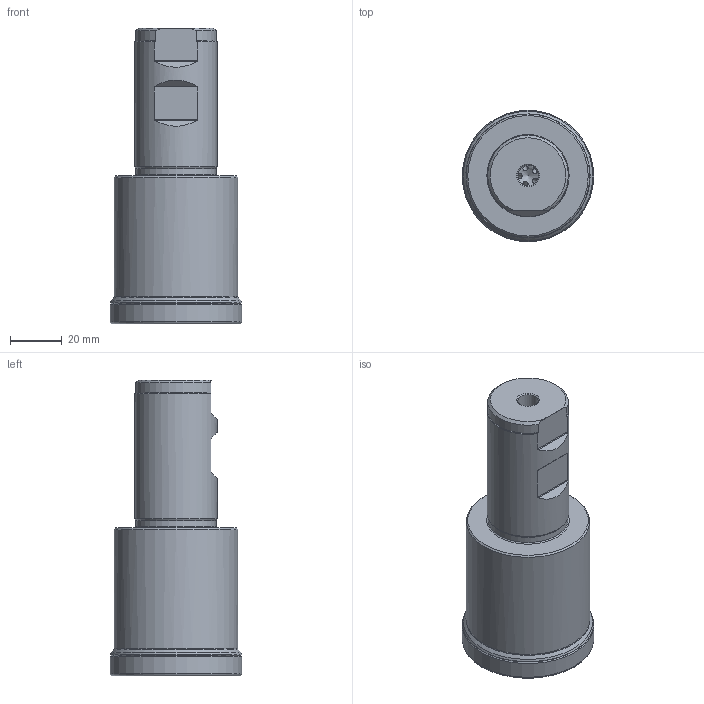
import cadquery as cq
import math

TOTAL_HEIGHT = 114.32
SHANK_LENGTH = 57.15
SHOULDER_Z = TOTAL_HEIGHT - SHANK_LENGTH

SHANK_RADIUS = 31.75 / 2
UPPER_NECK_RADIUS = 31.2 / 2
UPPER_NECK_LENGTH = 4.9
LOWER_NECK_RADIUS = 30.95 / 2
LOWER_NECK_LENGTH = 2.85
LOWER_NECK_TAPER_LENGTH = 0.7
SHANK_TOP_CHAMFER = 1.0
SHANK_ROOT_FILLET = 0.45

BODY_RADIUS = 47.8 / 2
BODY_CHAMFER = 0.6

COLLAR_RADIUS = 50.87 / 2
COLLAR_TOP_Z = 10.35
COLLAR_ROOT_FILLET = 0.5
COLLAR_SLOPE_END_Z = 9.0
COLLAR_SLOPE_END_RADIUS = 25.05
GROOVE_TOP_Z = 8.2
GROOVE_BOTTOM_Z = 7.3
GROOVE_DEPTH = 0.35
COLLAR_BOTTOM_FILLET = 0.85

FLAT_DISTANCE = 13.5
UPPER_FLAT_LENGTH = 12.7
LOWER_FLAT_LENGTH = 13.0
LOWER_FLAT_TOP_Z = TOTAL_HEIGHT - 22.5
FLAT_CORNER_FILLET = 0.5

BORE_RADIUS = 8 / 2
BORE_CHAMFER = 0.4
BORE_FLOOR_Z = 20.0
DRILL_POINT_ANGLE = 118
CHANNEL_COUNT = 5
CHANNEL_RADIUS = 2 / 2
CHANNEL_START_RADIUS = 3.15
CHANNEL_TILT = 30
CHANNEL_FIRST_ANGLE = 180


def make_turned_blank():
    """Shank, body and grooved collar as one revolved profile."""
    upper_neck_z = TOTAL_HEIGHT - UPPER_NECK_LENGTH
    upper_step = SHANK_RADIUS - UPPER_NECK_RADIUS
    lower_neck_z = SHOULDER_Z + LOWER_NECK_LENGTH
    groove_middle_z = (GROOVE_TOP_Z + GROOVE_BOTTOM_Z) / 2
    fillet_offset = COLLAR_BOTTOM_FILLET * (1 - math.sqrt(0.5))
    root_offset = SHANK_ROOT_FILLET * (1 - math.sqrt(0.5))
    profile = (
        cq.Workplane("XZ")
        .moveTo(0, 0)
        .lineTo(COLLAR_RADIUS - COLLAR_BOTTOM_FILLET, 0)
        .threePointArc(
            (COLLAR_RADIUS - fillet_offset, fillet_offset),
            (COLLAR_RADIUS, COLLAR_BOTTOM_FILLET),
        )
        .lineTo(COLLAR_RADIUS, GROOVE_BOTTOM_Z)
        .lineTo(COLLAR_RADIUS - GROOVE_DEPTH, groove_middle_z)
        .lineTo(COLLAR_RADIUS, GROOVE_TOP_Z)
        .lineTo(COLLAR_SLOPE_END_RADIUS, COLLAR_SLOPE_END_Z)
        .lineTo(BODY_RADIUS, COLLAR_TOP_Z)
        .lineTo(BODY_RADIUS, SHOULDER_Z - BODY_CHAMFER)
        .lineTo(BODY_RADIUS - BODY_CHAMFER, SHOULDER_Z)
        .lineTo(LOWER_NECK_RADIUS + SHANK_ROOT_FILLET, SHOULDER_Z)
        .threePointArc(
            (LOWER_NECK_RADIUS + root_offset, SHOULDER_Z + root_offset),
            (LOWER_NECK_RADIUS, SHOULDER_Z + SHANK_ROOT_FILLET),
        )
        .lineTo(LOWER_NECK_RADIUS, lower_neck_z)
        .lineTo(SHANK_RADIUS, lower_neck_z + LOWER_NECK_TAPER_LENGTH)
        .lineTo(SHANK_RADIUS, upper_neck_z - upper_step)
        .lineTo(UPPER_NECK_RADIUS, upper_neck_z)
        .lineTo(UPPER_NECK_RADIUS, TOTAL_HEIGHT - SHANK_TOP_CHAMFER)
        .lineTo(UPPER_NECK_RADIUS - SHANK_TOP_CHAMFER, TOTAL_HEIGHT)
        .lineTo(0, TOTAL_HEIGHT)
        .close()
    )
    blank = profile.revolve(360, (0, 0, 0), (0, 1, 0))
    collar_root = cq.selectors.BoxSelector(
        (-BODY_RADIUS, -BODY_RADIUS, COLLAR_TOP_Z - COLLAR_ROOT_FILLET),
        (BODY_RADIUS, BODY_RADIUS, COLLAR_TOP_Z + COLLAR_ROOT_FILLET),
    )
    return blank.edges("%CIRCLE").edges(collar_root).fillet(COLLAR_ROOT_FILLET)


def make_flat_cutter(flat_top, flat_length):
    """Wedge-sided notch whose ends run out of the shank at 45 degrees."""
    flat_bottom = flat_top - flat_length
    run_out = SHANK_RADIUS
    outer_y = -FLAT_DISTANCE - run_out
    return (
        cq.Workplane("YZ")
        .moveTo(-FLAT_DISTANCE, flat_bottom)
        .lineTo(-FLAT_DISTANCE, flat_top)
        .lineTo(outer_y, flat_top + run_out)
        .lineTo(outer_y, flat_bottom - run_out)
        .close()
        .extrude(SHANK_RADIUS, both=True)
        .faces(">Y")
        .edges("|X")
        .fillet(FLAT_CORNER_FILLET)
    )


def make_bore():
    """Drilled bore with a conical floor and a chamfered mouth."""
    cone_depth = BORE_RADIUS / math.tan(math.radians(DRILL_POINT_ANGLE / 2))
    return (
        cq.Workplane("XZ")
        .moveTo(0, BORE_FLOOR_Z - cone_depth)
        .lineTo(BORE_RADIUS, BORE_FLOOR_Z)
        .lineTo(BORE_RADIUS, TOTAL_HEIGHT - BORE_CHAMFER)
        .lineTo(BORE_RADIUS + BORE_CHAMFER, TOTAL_HEIGHT)
        .lineTo(0, TOTAL_HEIGHT)
        .close()
        .revolve(360, (0, 0, 0), (0, 1, 0))
    )


def make_channel(angle):
    """Round channel leaning outward from the bore floor to the bottom face."""
    tilt = math.radians(CHANNEL_TILT)
    floor_slope = 1 / math.tan(math.radians(DRILL_POINT_ANGLE / 2))
    entry_z = BORE_FLOOR_Z - (BORE_RADIUS - CHANNEL_START_RADIUS) * floor_slope
    lead_in = CHANNEL_RADIUS
    overrun = 2 * CHANNEL_RADIUS
    direction = cq.Vector(math.sin(tilt), 0, -math.cos(tilt))
    start = cq.Vector(CHANNEL_START_RADIUS, 0, entry_z) - direction * lead_in
    length = lead_in + entry_z / math.cos(tilt) + overrun
    channel = cq.Solid.makeCylinder(CHANNEL_RADIUS, length, start, direction)
    return channel.rotate(cq.Vector(0, 0, 0), cq.Vector(0, 0, 1), angle)


result = make_turned_blank()
result = result.cut(make_flat_cutter(TOTAL_HEIGHT, UPPER_FLAT_LENGTH))
result = result.cut(make_flat_cutter(LOWER_FLAT_TOP_Z, LOWER_FLAT_LENGTH))
result = result.cut(make_bore())
for index in range(CHANNEL_COUNT):
    channel_angle = CHANNEL_FIRST_ANGLE + index * 360 / CHANNEL_COUNT
    result = result.cut(make_channel(channel_angle))